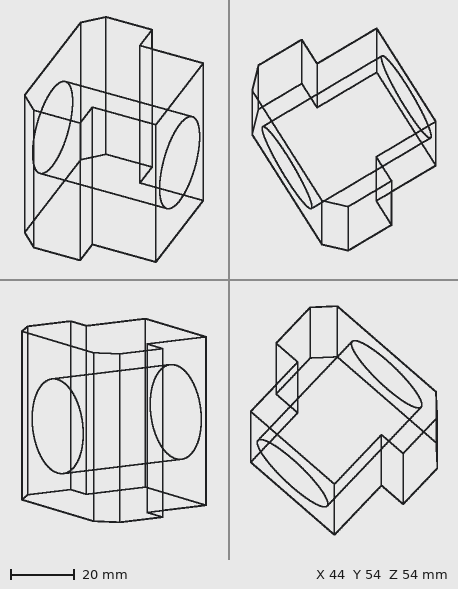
import cadquery as cq

total_depth = 44.0
head_depth = 22.0
head_width = 54.0
neck_width = 35.6
height = 54.0
corner_chamfer = 6.0
bore_diameter = 30.0


def make_head():
    head = cq.Workplane("XY").box(head_depth, head_width, height, centered=(False, True, True))
    return head.faces("<X").edges("|Z").chamfer(corner_chamfer)


def make_neck():
    neck = cq.Workplane("XY").box(
        total_depth - head_depth, neck_width, height, centered=(False, True, True)
    )
    return neck.translate((head_depth, 0, 0))


def make_bore():
    return cq.Workplane("YZ").circle(bore_diameter / 2).extrude(total_depth)


result = make_head().union(make_neck()).cut(make_bore())